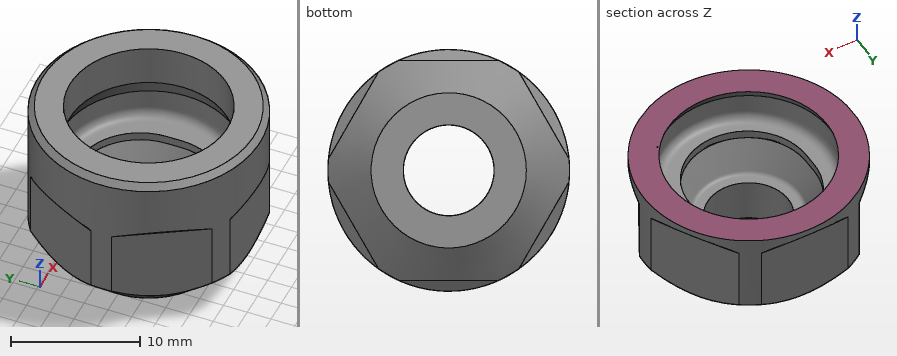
import cadquery as cq
import math

height = 14.6
body_radius = 18.7 / 2
nose_radius = 6.0
top_chamfer = 0.5
nose_height = body_radius - nose_radius

flat_count = 6
across_flats = 17.0
flat_top = 9.0
cut_margin = 1.0

mouth_radius = 13.19 / 2
mouth_bottom = 11.1
relief_radius = 14.5 / 2
relief_cone_bottom = 9.64
ledge_height = 7.12
ledge_fillet = 0.8

oval_radius = 5.21
oval_center_x = -0.28
oval_center_spacing = 1.24
lip_thickness = 0.72

seat_half_angle = math.radians(30)
seat_top_radius = oval_radius + math.hypot(oval_center_x, oval_center_spacing / 2)
seat_top_height = ledge_height - lip_thickness
seat_low_radius = 9.1 / 2
seat_low_height = seat_top_height - (seat_top_radius - seat_low_radius) / math.tan(seat_half_angle)
seat_floor_radius = 4.15

hole_radius = 7.0 / 2


def make_body():
    """Round blank with a chamfered top edge and a 45 degree nose."""
    profile = [
        (0, 0),
        (nose_radius, 0),
        (body_radius, nose_height),
        (body_radius, height - top_chamfer),
        (body_radius - top_chamfer, height),
        (0, height),
    ]
    return cq.Workplane("XZ").polyline(profile).close().revolve(360, (0, 0), (0, 1))


def make_flat_cutter():
    """Bar that cuts the flat on the -Y side, with a 45 degree roof above it."""
    inner = across_flats / 2
    outer = body_radius + cut_margin
    profile = [
        (-inner, 0),
        (-inner, flat_top),
        (-outer, flat_top + outer - inner),
        (-outer, 0),
    ]
    return cq.Workplane("YZ").polyline(profile).close().extrude(body_radius, both=True)


def make_upper_bore():
    """Bore with a widened relief and a filleted ledge."""
    fillet_mid = ledge_fillet * math.sin(math.radians(45))
    fillet_center = (relief_radius - ledge_fillet, ledge_height + ledge_fillet)
    return (
        cq.Workplane("XZ")
        .moveTo(0, height)
        .lineTo(mouth_radius, height)
        .lineTo(mouth_radius, mouth_bottom)
        .lineTo(relief_radius, relief_cone_bottom)
        .lineTo(relief_radius, fillet_center[1])
        .threePointArc(
            (fillet_center[0] + fillet_mid, fillet_center[1] - fillet_mid),
            (fillet_center[0], ledge_height),
        )
        .lineTo(0, ledge_height)
        .close()
        .revolve(360, (0, 0), (0, 1))
    )


def make_lip_opening():
    """Straight-walled oval that leaves a lip hanging over the seat."""
    return (
        cq.Workplane("XY")
        .workplane(offset=seat_top_height)
        .center(oval_center_x, 0)
        .slot2D(oval_center_spacing + 2 * oval_radius, 2 * oval_radius, 90)
        .extrude(lip_thickness)
    )


def make_seat():
    """Cone that narrows downward and is rounded into a flat ring."""
    fillet = (seat_low_radius - seat_floor_radius) / math.cos(seat_half_angle)
    fillet_center_z = seat_low_height + fillet * math.sin(seat_half_angle)
    floor_z = fillet_center_z - fillet
    mid_angle = (seat_half_angle + math.radians(90)) / 2
    arc_mid = (
        seat_floor_radius + fillet * math.cos(mid_angle),
        fillet_center_z - fillet * math.sin(mid_angle),
    )
    return (
        cq.Workplane("XZ")
        .moveTo(0, floor_z)
        .lineTo(seat_floor_radius, floor_z)
        .threePointArc(arc_mid, (seat_low_radius, seat_low_height))
        .lineTo(seat_top_radius, seat_top_height)
        .lineTo(0, seat_top_height)
        .close()
        .revolve(360, (0, 0), (0, 1))
    )


def make_through_hole():
    return cq.Workplane("XY").circle(hole_radius).extrude(height)


result = make_body()
for index in range(flat_count):
    turn = index * 360 / flat_count
    result = result.cut(make_flat_cutter().rotate((0, 0, 0), (0, 0, 1), turn))
for cavity in (make_upper_bore(), make_lip_opening(), make_seat(), make_through_hole()):
    result = result.cut(cavity)